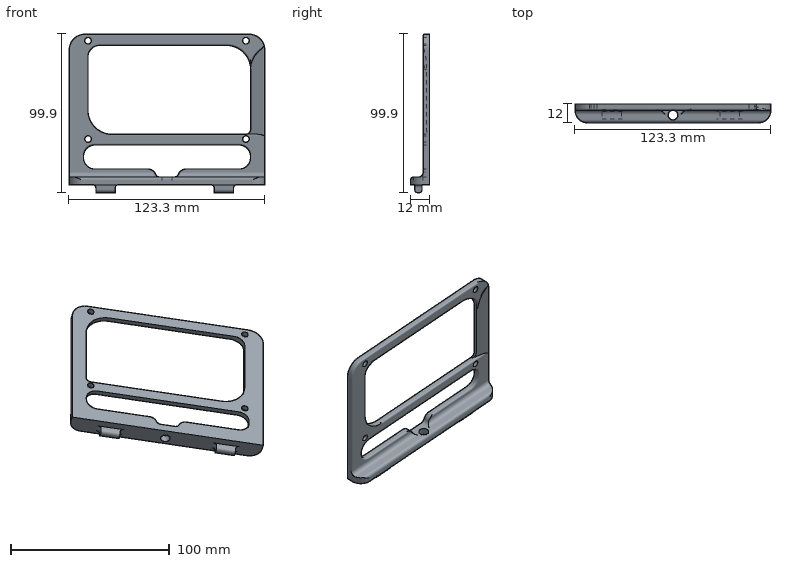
import cadquery as cq
import math


width = 123.3
body_height = 94.9
plate_thickness = 4.0
top_corner_radius = 10.0
edge_round = 1.0
side_x = width / 2
front_y = -plate_thickness

ledge_depth = 12.0
ledge_height = 5.0
ledge_corner_radius = 8.0
ledge_front_round = 2.0
ledge_root_radius = 3.0
peg_line_y = -7.0
centre_hole_diameter = 6.0

peg_centres_x = (-38.65, 35.8)
peg_width = 12.3
peg_depth = 4.7
peg_height = 5.0
peg_round = 2.0
peg_root_radius = 2.0

window_left = -49.7
window_right = 52.6
window_bottom = 31.9
window_top = 87.7
window_top_left_radius = 7.0
window_large_radius = 15.0
window_bottom_right_radius = 3.0
window_round = 1.1
top_taper_run = 3.4
bottom_taper_run = 5.3

rim_width = 0.9
recess_slope = 15.0
recess_right = side_x - rim_width
recess_left = window_right - window_bottom_right_radius

slot_width = 105.0
slot_bottom = 10.0
slot_height = 15.0
slot_corner_radius = 7.0

notch_floor_width = 9.0
notch_foot_radius = 3.0
notch_lip_radius = 5.0

screw_hole_diameter = 4.0
screw_spacing_x = 99.4
screw_spacing_z = 61.9
screw_centre_z = 59.8


def through_plate(outline):
    """Extrude an XZ outline from the back face to the front of the ledge."""
    return outline.extrude(ledge_depth)


def round_profile(x, edge_z, opening_side):
    """YZ profile of the corner that the window round removes from a front edge.

    The opening lies above the edge if opening_side is 1 and below it if it is -1.
    """
    middle = window_round * (1 - math.sqrt(0.5))
    return (
        cq.Workplane("YZ", origin=(x, front_y, edge_z))
        .lineTo(0, -opening_side * window_round)
        .threePointArc((middle, -opening_side * middle), (window_round, 0))
        .close()
    )


def straight_round(start_x, run_x, edge_z, opening_side, rise=0.0):
    """Corner cutter along a front edge; it slides by rise in Z over run_x."""
    profile = round_profile(start_x, edge_z, opening_side)
    face = cq.Face.makeFromWires(profile.wires().val())
    return cq.Workplane(cq.Solid.extrudeLinear(face, cq.Vector(run_x, 0, rise)))


def arc_round(centre_x, centre_z, radius):
    """Ring-shaped corner cutter around a round front edge of the given radius."""
    profile = round_profile(centre_x, centre_z + radius, -1)
    return profile.revolve(360, (0, -radius, 0), (1, -radius, 0))


def plain_plate():
    """Square-cornered plate."""
    return (
        cq.Workplane("XY")
        .box(width, plate_thickness, body_height, centered=(True, False, False))
        .translate((0, front_y, 0))
    )


def make_plate():
    """Plate with rounded left and top front edges; the top round runs out to the right."""
    plate = plain_plate().edges("|Y and >Z and <X").fillet(top_corner_radius)
    plate = plate.faces(">Z").edges("<Y").fillet(edge_round)
    right_trim = plain_plate().edges("|Y and >Z and >X").fillet(top_corner_radius)
    return plate.intersect(right_trim)


def root_profile():
    """YZ section of the hollow round from the ledge up to the plate.

    Its upright edge lies on the axis of the plate's left edge round.
    """
    root_offset = ledge_root_radius * (1 - math.sqrt(0.5))
    axis_x = -side_x + edge_round
    axis_y = front_y + edge_round
    return (
        cq.Workplane("YZ", origin=(axis_x, axis_y, ledge_height))
        .lineTo(-edge_round - ledge_root_radius, 0)
        .threePointArc(
            (-edge_round - root_offset, root_offset),
            (-edge_round, ledge_root_radius),
        )
        .lineTo(0, ledge_root_radius)
        .close()
    )


def make_root():
    """Hollow round along the ledge, turning around the plate's rounded left edge."""
    straight_part = root_profile().extrude(width - edge_round)
    left_end = root_profile().revolve(360, (0, 0, 0), (0, 1, 0))
    return straight_part.union(left_end)


def make_ledge():
    """Ledge with rounded front, plus the hollow round leading up to the plate."""
    ledge = (
        cq.Workplane("XY")
        .box(width, ledge_depth, ledge_height, centered=(True, False, False))
        .translate((0, -ledge_depth, 0))
    )
    ledge = ledge.edges("<Y and >Z").fillet(ledge_front_round)
    footprint = (
        cq.Workplane("XY")
        .box(width, ledge_depth, body_height, centered=(True, False, False))
        .translate((0, -ledge_depth, 0))
        .edges("|Z and <Y")
        .fillet(ledge_corner_radius)
    )
    return ledge.union(make_root()).intersect(footprint)


def make_peg(centre_x):
    """Peg with rounded lower edges, flared at both ends where it meets the ledge."""
    half_width = peg_width / 2
    flare_offset = peg_root_radius * (1 - math.sqrt(0.5))
    flare_end = half_width + peg_root_radius
    front_shape = (
        cq.Workplane("XZ", origin=(centre_x, peg_line_y + peg_depth / 2, 0))
        .moveTo(-half_width, -peg_height)
        .lineTo(half_width, -peg_height)
        .lineTo(half_width, -peg_root_radius)
        .threePointArc((half_width + flare_offset, -flare_offset), (flare_end, 0))
        .lineTo(-flare_end, 0)
        .threePointArc(
            (-half_width - flare_offset, -flare_offset),
            (-half_width, -peg_root_radius),
        )
        .close()
        .extrude(peg_depth)
    )
    return front_shape.faces("<Z").edges("|X").fillet(peg_round)


def make_window():
    window = through_plate(
        cq.Workplane("XZ")
        .moveTo(window_left, window_bottom)
        .lineTo(window_right, window_bottom)
        .lineTo(window_right, window_top)
        .lineTo(window_left, window_top)
        .close()
    )
    window = window.edges("|Y and <X and >Z").fillet(window_top_left_radius)
    window = window.edges("|Y and >X and >Z").fillet(window_large_radius)
    window = window.edges("|Y and <X and <Z").fillet(window_large_radius)
    return window.edges("|Y and >X and <Z").fillet(window_bottom_right_radius)


def taper_rise(run, corner_radius):
    """Rise at which a tapering edge round runs out into the corner arc."""
    return window_round + corner_radius - math.sqrt(corner_radius**2 - run**2)


def make_window_rounds():
    """Edge rounds of the window's top, top right corner and bottom."""
    top_start = window_left + window_top_left_radius
    top_end = window_right - window_large_radius
    bottom_start = window_left + window_large_radius
    bottom_end = window_right - window_bottom_right_radius
    top_rise = taper_rise(top_taper_run, window_top_left_radius)
    bottom_rise = taper_rise(bottom_taper_run, window_large_radius)
    return [
        straight_round(top_start, top_end - top_start, window_top, -1),
        straight_round(top_start, -top_taper_run, window_top, -1, -top_rise),
        arc_round(top_end, window_top - window_large_radius, window_large_radius),
        straight_round(bottom_start, bottom_end - bottom_start, window_bottom, 1),
        straight_round(bottom_start, -bottom_taper_run, window_bottom, 1, bottom_rise),
    ]


def make_recess():
    """Sloped cut that deepens from the right-hand rim towards the window."""
    arc_centre_x = window_right + window_large_radius
    arc_centre_z = window_top - window_large_radius
    slope_run = recess_right - recess_left
    slope_depth = slope_run * math.tan(math.radians(recess_slope))
    wedge = (
        cq.Workplane("XY")
        .moveTo(recess_right, front_y)
        .lineTo(recess_left, front_y)
        .lineTo(recess_left, front_y + slope_depth)
        .close()
        .extrude(body_height)
    )
    lower_part = through_plate(
        cq.Workplane("XZ")
        .moveTo(recess_left, window_bottom)
        .lineTo(recess_right, window_bottom)
        .lineTo(recess_right, arc_centre_z)
        .lineTo(recess_left, arc_centre_z)
        .close()
    )
    upper_part = through_plate(
        cq.Workplane("XZ").center(arc_centre_x, arc_centre_z).circle(window_large_radius)
    )
    bottom_round = straight_round(recess_left, slope_run, window_bottom, 1)
    top_round = arc_round(arc_centre_x, arc_centre_z, window_large_radius)
    opening = lower_part.union(upper_part).union(bottom_round).union(top_round)
    return wedge.intersect(opening)


def make_slot():
    slot_centre_z = slot_bottom + slot_height / 2
    return (
        cq.Workplane("XZ", origin=(0, 0, slot_centre_z))
        .rect(slot_width, slot_height)
        .extrude(plate_thickness)
        .edges("|Y")
        .fillet(slot_corner_radius)
    )


def round_slot_rim(plate):
    """Round the front rim of the slot, selected by a thin box around it."""
    margin = edge_round / 2
    slot_rim = cq.selectors.BoxSelector(
        (-slot_width, front_y - margin, slot_bottom - margin),
        (slot_width, front_y + margin, slot_bottom + slot_height + margin),
    )
    return plate.edges(slot_rim).fillet(edge_round)


def make_notch():
    """Notch with S-shaped flanks: hollow at the floor, rounded at the slot."""
    flank_height = slot_bottom - ledge_height
    radius_sum = notch_foot_radius + notch_lip_radius
    turn = math.acos(1 - flank_height / radius_sum)
    foot_x = notch_floor_width / 2
    lip_x = foot_x + radius_sum * math.sin(turn)

    def foot_point(angle):
        return (
            foot_x + notch_foot_radius * math.sin(angle),
            ledge_height + notch_foot_radius * (1 - math.cos(angle)),
        )

    def lip_point(angle):
        return (
            lip_x - notch_lip_radius * math.sin(angle),
            slot_bottom - notch_lip_radius * (1 - math.cos(angle)),
        )

    half = through_plate(
        cq.Workplane("XZ")
        .moveTo(0, ledge_height)
        .lineTo(foot_x, ledge_height)
        .threePointArc(foot_point(turn / 2), foot_point(turn))
        .threePointArc(lip_point(turn / 2), (lip_x, slot_bottom))
        .lineTo(lip_x, slot_bottom + edge_round)
        .lineTo(0, slot_bottom + edge_round)
        .close()
    )
    return half.union(half.mirror("YZ"))


def make_screw_holes():
    return through_plate(
        cq.Workplane("XZ", origin=(0, 0, screw_centre_z))
        .rarray(screw_spacing_x, screw_spacing_z, 2, 2)
        .circle(screw_hole_diameter / 2)
    )


def make_centre_hole():
    return (
        cq.Workplane("XY")
        .center(0, peg_line_y)
        .circle(centre_hole_diameter / 2)
        .extrude(ledge_height)
    )


plate = round_slot_rim(make_plate().cut(make_slot()))
plate = plate.cut(make_window())
for round_cutter in make_window_rounds():
    plate = plate.cut(round_cutter)
plate = plate.cut(make_recess()).cut(make_screw_holes())

result = plate.union(make_ledge())
for peg_x in peg_centres_x:
    result = result.union(make_peg(peg_x))
result = result.cut(make_notch()).cut(make_centre_hole())